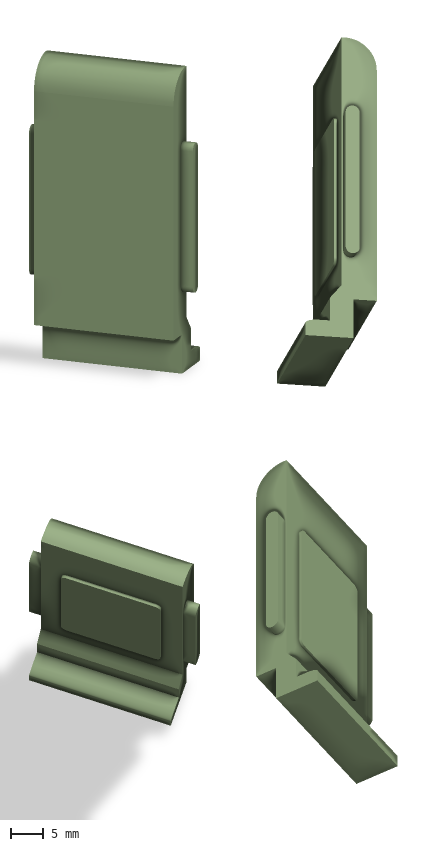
import cadquery as cq
import math

height = 48.8
housing_width = 23.0
plate_thickness = 5.5
plate_bottom = 6.3
crown_radius = 5.03

depth = 11.1
foot_front = 3.6
step_back = 7.25
foot_top = 2.65
step_top = 6.4
ramp_top = 8.5
toe_curve_length = 2.0
toe_curve_drop = 0.6

bar_length = 27.0
bar_thickness = 2.2
bar_height = 24.0
bar_middle_y = 4.15
slider_middle_z = 25.1
button_width = 16.1
button_height = 23.9
button_corner_radius = 1.02
button_back = 6.0


def cross_bar():
    """Straight bar along X with a round-ended upright cross-section."""
    return (
        cq.Workplane("YZ", origin=(0, bar_middle_y, slider_middle_z))
        .slot2D(bar_height, bar_thickness, 90)
        .extrude(bar_length / 2, both=True)
    )


def button():
    """Round-cornered plate from the middle of the bar out through the back face."""
    return (
        cq.Workplane("XZ", origin=(0, bar_middle_y, slider_middle_z))
        .rect(button_width, button_height)
        .extrude(bar_middle_y - button_back)
        .edges("|Y")
        .fillet(button_corner_radius)
    )


def make_slider():
    """Cross bar and button as one solid."""
    return cross_bar().union(button())


def make_housing(slider):
    """Plate and stepped foot as one side profile across the width, with a cavity that fits the slider."""
    crown_overrun = plate_thickness - crown_radius
    crown_back_height = height - crown_radius + math.sqrt(crown_radius**2 - crown_overrun**2)
    profile = (
        cq.Workplane("YZ", origin=(-housing_width / 2, 0, 0))
        .moveTo(0, plate_bottom)
        .lineTo(foot_front, plate_bottom)
        .lineTo(foot_front, 0)
        .lineTo(depth, 0)
        .lineTo(depth, foot_top - toe_curve_drop)
        .ellipseArc(toe_curve_length, toe_curve_drop, 0, 90)
        .lineTo(step_back, foot_top)
        .lineTo(step_back, step_top)
        .lineTo(plate_thickness, ramp_top)
        .lineTo(plate_thickness, crown_back_height)
        .radiusArc((0, height - crown_radius), -crown_radius)
        .close()
    )
    return profile.extrude(housing_width).cut(slider)


slider = make_slider()
housing = make_housing(slider)
result = cq.Compound.makeCompound([housing.val(), slider.val()])